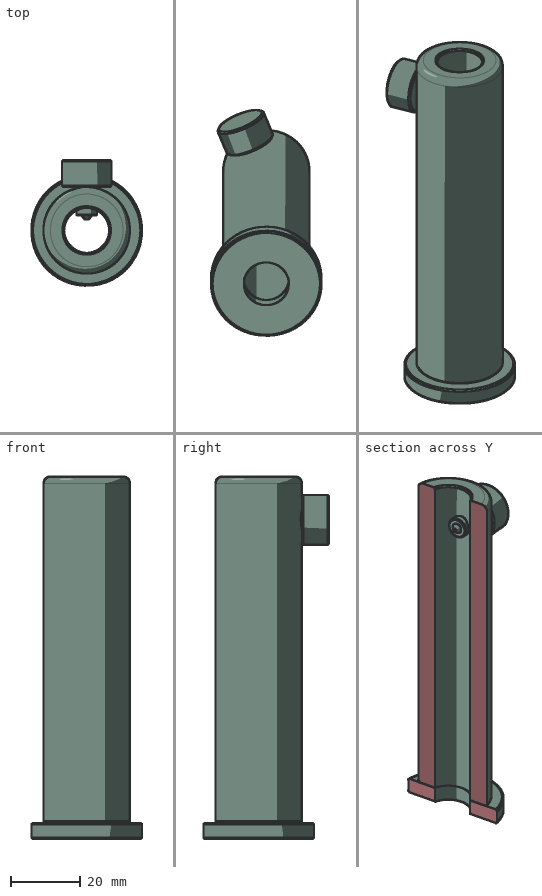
import cadquery as cq

flange_radius = 16.0
flange_height = 4.7
flange_chamfer = 0.5

tube_length = 100.0
tube_radius = 12.5
bore_radius = 6.5
tube_top_fillet = 2.0
tube_bottom_chamfer = 0.5
bore_chamfer = 0.5
tube_top = flange_height + tube_length

plunger_drop = 12.5
plunger_z = tube_top - plunger_drop
knob_radius = 7.2
knob_length = 7.85
knob_inner_y = tube_radius
knob_outer_y = knob_inner_y + knob_length
knob_chamfer = 0.5
sleeve_radius = 3.0
sleeve_tip_y = 4.3
sleeve_chamfer = 0.3
pin_radius = 1.5
pin_tip_radius = 0.5
pin_nose_length = 1.2


def cylinder_along_y(radius, y_start, y_end):
    """Solid cylinder on the plunger axis between two Y positions."""
    plane = cq.Plane(origin=(0, y_start, plunger_z), xDir=(1, 0, 0), normal=(0, 1, 0))
    return cq.Workplane(plane).circle(radius).extrude(y_end - y_start)


def make_flange():
    disc = cq.Workplane("XY").circle(flange_radius).extrude(flange_height)
    disc = disc.edges().chamfer(flange_chamfer)
    return disc.cut(cq.Workplane("XY").circle(bore_radius).extrude(flange_height))


def make_tube():
    tube = cq.Workplane("XY", origin=(0, 0, flange_height)).circle(tube_radius).extrude(tube_length)
    tube = tube.faces(">Z").edges().fillet(tube_top_fillet)
    tube = tube.faces("<Z").edges().chamfer(tube_bottom_chamfer)
    tube = tube.faces(">Z").workplane().hole(2 * bore_radius)
    bore_rim = cq.selectors.RadiusNthSelector(0)
    tube = tube.faces(">Z").edges(bore_rim).chamfer(bore_chamfer)
    return tube.cut(cylinder_along_y(sleeve_radius, 0, knob_inner_y))


def make_plunger_body():
    knob = cylinder_along_y(knob_radius, knob_inner_y, knob_outer_y).edges().chamfer(knob_chamfer)
    sleeve = cylinder_along_y(sleeve_radius, sleeve_tip_y, knob_inner_y)
    sleeve = sleeve.faces("<Y").edges().chamfer(sleeve_chamfer)
    pin_hole = cylinder_along_y(pin_radius, sleeve_tip_y, knob_inner_y)
    return knob.union(sleeve).cut(pin_hole)


def make_pin():
    pin = cylinder_along_y(pin_radius, sleeve_tip_y - pin_nose_length, knob_inner_y)
    return pin.faces("<Y").edges().chamfer(pin_nose_length, pin_radius - pin_tip_radius)


flange = make_flange()
tube = make_tube()
plunger_body = make_plunger_body()
pin = make_pin()

result = cq.Compound.makeCompound([flange.val(), tube.val(), plunger_body.val(), pin.val()])